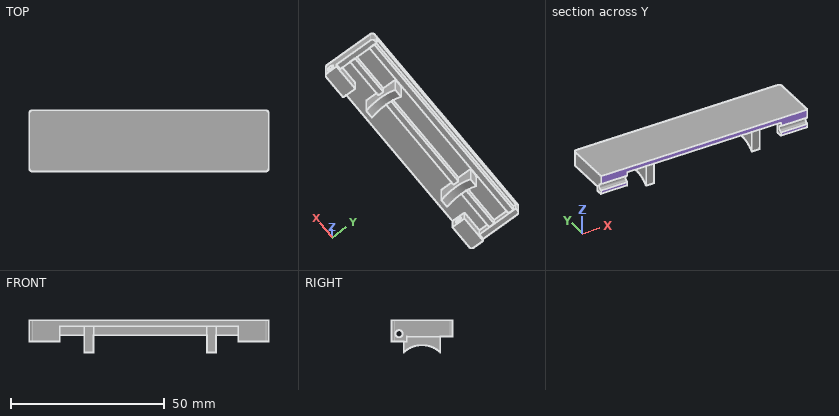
import cadquery as cq

length = 78.0
width = 20.0
plate_thickness = 1.95
corner_radius = 1.0

rib_width = 2.0
rib_bottom = -5.0
rib_centers_y = (0.0, width / 2 - corner_radius - rib_width / 2)
end_wall_thickness = 2.0
end_wall_bottom = -5.4

block_length = 10.0
block_width = 5.0
block_bottom = -7.0
pin_diameter = 2.3
pin_y = -(width - block_width) / 2
pin_z = -4.45

saddle_thickness = 3.05
saddle_width = 12.0
saddle_bottom = -10.6
saddle_arch_top = -8.2
saddle_spacing = 39.9
saddle_offset_x = 0.4


def hanging_box(size_x, size_y, bottom, center_x, center_y):
    """Box reaching from the top face of the plate down to the given height."""
    return cq.Workplane("XY").box(size_x, size_y, -bottom).translate((center_x, center_y, bottom / 2))


def saddle(center_x):
    half_width = saddle_width / 2
    profile = (
        cq.Workplane("YZ")
        .moveTo(-half_width, -plate_thickness / 2)
        .lineTo(half_width, -plate_thickness / 2)
        .lineTo(half_width, saddle_bottom)
        .threePointArc((0, saddle_arch_top), (-half_width, saddle_bottom))
        .close()
    )
    return profile.extrude(saddle_thickness / 2, both=True).translate((center_x, 0, 0))


body = hanging_box(length, width, -plate_thickness, 0, 0)

for rib_y in rib_centers_y:
    body = body.union(hanging_box(length, rib_width, rib_bottom, 0, rib_y))

for side in (-1, 1):
    wall_x = side * (length - end_wall_thickness) / 2
    block_x = side * (length - block_length) / 2
    saddle_x = saddle_offset_x + side * saddle_spacing / 2
    body = body.union(hanging_box(end_wall_thickness, width, end_wall_bottom, wall_x, 0))
    body = body.union(hanging_box(block_length, block_width, block_bottom, block_x, pin_y))
    body = body.union(saddle(saddle_x))

rounded_envelope = hanging_box(length, width, saddle_bottom, 0, 0).edges("|Z").fillet(corner_radius)
body = body.intersect(rounded_envelope)

pin_hole = (
    cq.Workplane("YZ")
    .center(pin_y, pin_z)
    .circle(pin_diameter / 2)
    .extrude(length, both=True)
)
result = body.cut(pin_hole)